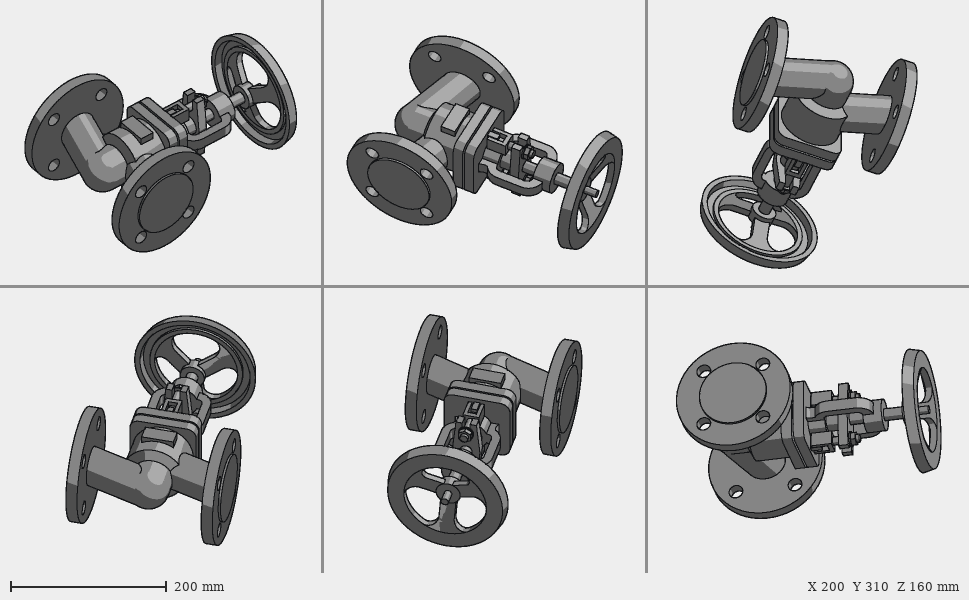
import cadquery as cq
import math


length = 200.0
raised_face_height = 3.0
raised_face_radius = 44.0
flange_thickness = 15.0
flange_radius = 75.0
bolt_hole_diameter = 18.0
bolt_circle_radius = 55.03
flange_outer_x = length / 2 - raised_face_height
flange_inner_x = flange_outer_x - flange_thickness

pipe_radius = 25.0
pipe_offset = 26.7
pipe_flange_overlap = 8.0
bowl_radius = 27.13
bowl_center_y = -24.8
cone_bottom_y = -2.5
chamber_bottom_y = 3.7
chamber_radius = 39.7
nameplate_width = 42.2
nameplate_bottom_y = 21.7
nameplate_height = 19.8
nameplate_top_z = 43.5

joint_width = 87.5
joint_corner_radius = 12.5
joint_thickness = 13.3
gasket_thickness = 2.5
gasket_radius = 37.0
body_flange_y = 50.5
gasket_y = body_flange_y + joint_thickness
bonnet_flange_y = gasket_y + gasket_thickness
bonnet_y = bonnet_flange_y + joint_thickness

neck_radius = 20.0
neck_top_y = 102.0
sleeve_radius = 12.7
collar_radius = 20.5
collar_bottom_y = 152.2
collar_top_y = 176.7
stem_radius = 7.8
yoke_thickness = 15.5
yoke_half_width = 38.8
yoke_bend_radius = 21.0
yoke_lower_bend_y = 110.0
yoke_upper_bend_y = 145.5
yoke_neck_x = 27.5
yoke_waist_x = 27.3
yoke_waist_y = 85.0
yoke_foot_x = 29.5
yoke_window_half_width = 27.3
yoke_window_corner_radius = 6.8

gland_bottom_y = 119.0
gland_thickness = 12.5
gland_top_y = gland_bottom_y + gland_thickness
gland_half_length = 45.5
gland_end_half_width = 13.5
gland_middle_half_width = 18.3
gland_bolt_z = 30.0
gland_bolt_radius = 5.3
gland_bolt_end_y = 144.0
washer_radius = 10.0
washer_thickness = 2.0
nut_thickness = 6.2
nut_across_corners = 18.5

clevis_half_width = 10.7
clevis_inner_z = 20.8
clevis_outer_z = 39.5
clevis_bottom_y = 82.2
clevis_top_y = 108.8
clevis_slot_width = 11.5
clevis_slot_top_y = 102.5
lug_width = 7.8
lug_inner_z = 19.8
lug_outer_z = 38.5
lug_top_y = 94.0
bolt_tail_outer_z = 33.5

wheel_bottom_y = 218.3
wheel_top_y = 232.8
rim_bottom_radius = 80.0
rim_top_radius = 76.5
rim_inner_bottom_radius = 73.0
rim_inner_top_radius = 70.7
web_bottom_y = 227.5
ring_outer_radius = 61.5
ring_bottom_y = 223.8
window_radius = 55.0
hub_radius = 16.0
hub_bottom_y = 203.0
hub_cone_y = 209.3
spoke_thickness = wheel_top_y - ring_bottom_y
hub_top_y = hub_cone_y + spoke_thickness
spoke_count = 3
spoke_width = 20.5
window_corner_radius = 13.0
stem_tip_radius = 5.0
top_y = 310 - flange_radius


def cylinder_y(radius, bottom_y, top_y, x=0, z=0):
    """Cylinder along Y between two heights."""
    axis = cq.Vector(0, 1, 0)
    return cq.Workplane(cq.Solid.makeCylinder(radius, top_y - bottom_y, cq.Vector(x, bottom_y, z), axis))


def box(x_range, y_range, z_range):
    """Box given by its limits on each axis."""
    low, high = zip(x_range, y_range, z_range)
    size = [b - a for a, b in zip(low, high)]
    return cq.Workplane("XY").box(*size, centered=False).translate(low)


def turned(points):
    """Solid of revolution about Y from (radius, y) points."""
    return cq.Workplane("XY").polyline(points).close().revolve(360, (0, 0), (0, 1))


def plane_at(y):
    """Work plane across the stem: local x is X, local y is -Z, extrusion goes up Y."""
    return cq.Workplane(cq.Plane((0, y, 0), (1, 0, 0), (0, 1, 0)))


def pipe_flange(side):
    """Flange with a raised face and four bolt holes; side is -1 or +1 along X."""
    start = cq.Plane((side * flange_inner_x, 0, 0), (0, 1, 0), (side, 0, 0))
    hole_pitch = bolt_circle_radius * math.sqrt(2)
    disc = cq.Workplane(start).circle(flange_radius).extrude(flange_thickness)
    holes = (
        cq.Workplane(start).rect(hole_pitch, hole_pitch, forConstruction=True).vertices()
        .circle(bolt_hole_diameter / 2).extrude(flange_thickness)
    )
    face = cq.Workplane(start).circle(raised_face_radius).extrude(flange_thickness + raised_face_height)
    return disc.cut(holes).union(face)


def pipe(side):
    """Sloping pipe: low under the seat on the -X side, high into the chamber on the +X side."""
    inner_end = cq.Vector(0, side * pipe_offset, 0)
    slope = cq.Vector(side * flange_inner_x, 0, 0) - inner_end
    reach = slope.Length + pipe_flange_overlap
    return cq.Workplane(cq.Solid.makeCylinder(pipe_radius, reach, inner_end, slope))


def body():
    bowl = cq.Workplane("XY").sphere(bowl_radius).translate((0, bowl_center_y, 0))
    column = cylinder_y(bowl_radius, bowl_center_y, chamber_bottom_y)
    chamber = turned([
        (0, cone_bottom_y),
        (bowl_radius, cone_bottom_y),
        (chamber_radius, chamber_bottom_y),
        (chamber_radius, body_flange_y),
        (0, body_flange_y),
    ])
    nameplate = box(
        (-nameplate_width / 2, nameplate_width / 2),
        (nameplate_bottom_y, nameplate_bottom_y + nameplate_height),
        (0, nameplate_top_z),
    )
    return bowl.union(column).union(chamber).union(nameplate)


def joint_flange(bottom_y):
    """Square flange with rounded corners around the stem axis."""
    half = joint_width / 2
    block = box((-half, half), (bottom_y, bottom_y + joint_thickness), (-half, half))
    return block.edges("|Y").fillet(joint_corner_radius)


def yoke():
    """Flat frame with rounded shoulders that carries the stem collar."""
    bend_x = yoke_half_width - yoke_bend_radius
    diagonal = yoke_bend_radius * math.sqrt(0.5)
    neck_angle = math.acos((yoke_neck_x - bend_x) / yoke_bend_radius)
    neck_point = (
        yoke_neck_x,
        yoke_lower_bend_y - yoke_bend_radius * math.sin(neck_angle),
    )
    half_frame = (
        cq.Workplane("XY").workplane(offset=-yoke_thickness / 2)
        .moveTo(0, bonnet_y)
        .lineTo(yoke_foot_x, bonnet_y)
        .threePointArc((yoke_waist_x, yoke_waist_y), neck_point)
        .threePointArc((bend_x + diagonal, yoke_lower_bend_y - diagonal), (yoke_half_width, yoke_lower_bend_y))
        .lineTo(yoke_half_width, yoke_upper_bend_y)
        .threePointArc(
            (bend_x + diagonal, yoke_upper_bend_y + diagonal),
            (bend_x, yoke_upper_bend_y + yoke_bend_radius),
        )
        .lineTo(0, yoke_upper_bend_y + yoke_bend_radius)
        .close()
        .extrude(yoke_thickness)
    )
    window = box(
        (-yoke_window_half_width, yoke_window_half_width),
        (neck_top_y, collar_bottom_y),
        (-yoke_thickness, yoke_thickness),
    ).edges("|Z").fillet(yoke_window_corner_radius)
    return half_frame.union(half_frame.mirror("YZ")).cut(window)


def gland_plate():
    """Plate tapering to both ends, with an open slot for each bolt."""
    outline = [
        (gland_middle_half_width, 0),
        (gland_end_half_width, gland_half_length),
        (-gland_end_half_width, gland_half_length),
        (-gland_middle_half_width, 0),
        (-gland_end_half_width, -gland_half_length),
        (gland_end_half_width, -gland_half_length),
    ]
    plate = plane_at(gland_bottom_y).polyline(outline).close().extrude(gland_thickness)
    for side in (-1, 1):
        slot_end = cylinder_y(gland_bolt_radius, gland_bottom_y, gland_top_y, z=side * gland_bolt_z)
        slot = box(
            (-gland_bolt_radius, gland_bolt_radius),
            (gland_bottom_y, gland_top_y),
            sorted((side * gland_bolt_z, side * gland_half_length)),
        )
        plate = plate.cut(slot_end).cut(slot)
    return plate


def gland_bolt():
    """Bolt, washer, nut, clevis and lug on the +Z side."""
    nut_y = gland_top_y + washer_thickness
    bolt = cylinder_y(gland_bolt_radius, clevis_slot_top_y, gland_bolt_end_y, z=gland_bolt_z)
    washer = cylinder_y(washer_radius, gland_top_y, nut_y, z=gland_bolt_z)
    nut = (
        plane_at(nut_y).center(0, -gland_bolt_z).transformed(rotate=(0, 0, 90))
        .polygon(6, nut_across_corners).extrude(nut_thickness)
    )
    clevis = box(
        (-clevis_half_width, clevis_half_width),
        (clevis_bottom_y, clevis_top_y),
        (clevis_inner_z, clevis_outer_z),
    )
    slot = box(
        (-clevis_slot_width / 2, clevis_slot_width / 2),
        (clevis_bottom_y, clevis_slot_top_y),
        (clevis_inner_z, clevis_outer_z),
    )
    lug_x = (-lug_width / 2, lug_width / 2)
    lug = box(lug_x, (bonnet_y, lug_top_y), (lug_inner_z, lug_outer_z))
    tail = box(lug_x, (lug_top_y, clevis_slot_top_y), (lug_inner_z, bolt_tail_outer_z))
    return clevis.cut(slot).union(lug).union(tail).union(bolt).union(washer).union(nut)


def handwheel():
    """Dished wheel with a tapered rim and three spokes under a shallow cone."""
    disc = turned([
        (0, hub_bottom_y),
        (hub_radius, hub_bottom_y),
        (hub_radius, hub_cone_y),
        (window_radius, ring_bottom_y),
        (ring_outer_radius, ring_bottom_y),
        (ring_outer_radius, web_bottom_y),
        (rim_inner_top_radius, web_bottom_y),
        (rim_inner_bottom_radius, wheel_bottom_y),
        (rim_bottom_radius, wheel_bottom_y),
        (rim_top_radius, wheel_top_y),
        (window_radius, wheel_top_y),
        (hub_radius, hub_top_y),
        (0, hub_top_y),
    ])
    windows = cylinder_y(window_radius, hub_bottom_y, wheel_top_y)
    for index in range(spoke_count):
        spoke = box((-spoke_width / 2, spoke_width / 2), (hub_bottom_y, wheel_top_y), (-window_radius, 0))
        windows = windows.cut(spoke.rotate((0, 0, 0), (0, 1, 0), index * 360 / spoke_count))
    near_hub = cq.selectors.BoxSelector(
        (-hub_radius, hub_bottom_y, -hub_radius), (hub_radius, wheel_top_y, hub_radius)
    )
    along_stem = cq.selectors.ParallelDirSelector(cq.Vector(0, 1, 0))
    rim_corners = cq.selectors.SubtractSelector(along_stem, near_hub)
    windows = windows.edges(rim_corners).fillet(window_corner_radius)
    windows = windows.cut(cylinder_y(hub_radius, hub_bottom_y, wheel_top_y))
    return disc.cut(windows)


result = body()
for side in (-1, 1):
    result = result.union(pipe_flange(side)).union(pipe(side))
result = result.union(joint_flange(body_flange_y)).union(joint_flange(bonnet_flange_y))
result = result.union(cylinder_y(gasket_radius, gasket_y, bonnet_flange_y))
result = result.union(cylinder_y(neck_radius, bonnet_y, neck_top_y))
result = result.union(cylinder_y(sleeve_radius, neck_top_y, gland_top_y))
result = result.union(yoke()).union(cylinder_y(collar_radius, collar_bottom_y, collar_top_y))
result = result.union(cylinder_y(stem_radius, gland_top_y, hub_bottom_y))
result = result.union(gland_plate())
result = result.union(gland_bolt()).union(gland_bolt().mirror("XY"))
result = result.union(handwheel()).union(cylinder_y(stem_tip_radius, hub_bottom_y, top_y))